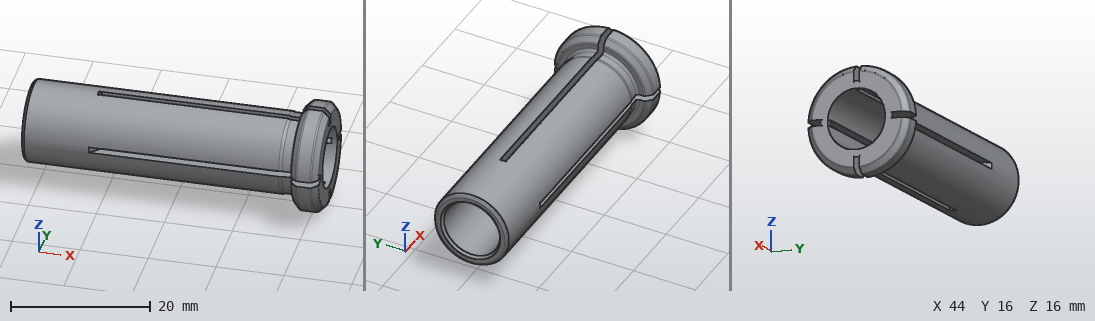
import cadquery as cq

length = 44.0
body_radius = 12.0 / 2
bore_radius = 9.0 / 2

nose_length = 0.45
nose_drop = 0.25
nose_rounding = 0.4
mouth_radius = 4.85
mouth_depth = 0.45

flange_radius = 16.0 / 2
flange_width = 4.05
flange_chamfer = 0.92
flange_rounding = 0.35
flange_face_rounding = 0.18
neck_drop = 0.15
neck_length = 2.1
neck_taper = 0.5
neck_fillet = 0.4

slot_count = 4
slot_width = 0.9
slot_start = 9.95
slot_end_ramp = 0.9
slot_end_rise = 1.1

flange_start = length - flange_width
neck_start = flange_start - neck_length
neck_radius = body_radius - neck_drop


def make_outer_body():
    """Turned outside shape, revolved about the X axis."""
    profile = (
        cq.Workplane("XY")
        .moveTo(0, 0)
        .lineTo(0, body_radius - nose_drop)
        .lineTo(nose_length, body_radius)
        .lineTo(neck_start, body_radius)
        .lineTo(neck_start + neck_taper, neck_radius)
        .lineTo(flange_start - neck_fillet, neck_radius)
        .radiusArc((flange_start, neck_radius + neck_fillet), -neck_fillet)
        .lineTo(flange_start, flange_radius - flange_chamfer)
        .lineTo(flange_start + flange_chamfer, flange_radius)
        .lineTo(length - flange_chamfer, flange_radius)
        .lineTo(length, flange_radius - flange_chamfer)
        .lineTo(length, 0)
        .close()
    )
    body = profile.revolve(360, (0, 0, 0), (1, 0, 0))
    crest_box = cq.selectors.BoxSelector(
        (flange_start + flange_chamfer / 2, -length, -length),
        (length - flange_chamfer / 2, length, length),
        boundingbox=False,
    )
    body = body.edges("%CIRCLE").edges(crest_box).fillet(flange_rounding)
    back_box = cq.selectors.BoxSelector(
        (flange_start - neck_fillet / 2, -length, -length),
        (flange_start + flange_chamfer / 4, length, length),
    )
    back_edges = body.edges("%CIRCLE").edges(back_box).edges(cq.selectors.RadiusNthSelector(-1))
    body = body.newObject(back_edges.vals()).fillet(flange_rounding)
    body = body.faces(">X").edges().fillet(flange_face_rounding)
    return body.faces("<X").edges().fillet(nose_rounding)


def make_bore():
    """Through bore with a tapered mouth at the plain end."""
    return (
        cq.Workplane("XY")
        .moveTo(0, 0)
        .lineTo(0, mouth_radius)
        .lineTo(mouth_depth, bore_radius)
        .lineTo(length, bore_radius)
        .lineTo(length, 0)
        .close()
        .revolve(360, (0, 0, 0), (1, 0, 0))
    )


def make_slot():
    """One slot cutter on the +Y side, ramped up at both ends of its floor."""
    floor_radius = bore_radius - slot_width / 2
    start_ramp = body_radius - floor_radius
    ramp_slope = slot_end_rise / slot_end_ramp
    end_ramp_start = length - slot_end_ramp - (bore_radius - floor_radius) / ramp_slope
    return (
        cq.Workplane("XY")
        .moveTo(slot_start, flange_radius + slot_width)
        .lineTo(slot_start, body_radius)
        .lineTo(slot_start + start_ramp, floor_radius)
        .lineTo(end_ramp_start, floor_radius)
        .lineTo(length, bore_radius + slot_end_rise)
        .lineTo(length, flange_radius + slot_width)
        .close()
        .extrude(slot_width / 2, both=True)
    )


result = make_outer_body().cut(make_bore())
for index in range(slot_count):
    slot_angle = index * 360 / slot_count
    result = result.cut(make_slot().rotate((0, 0, 0), (1, 0, 0), slot_angle))